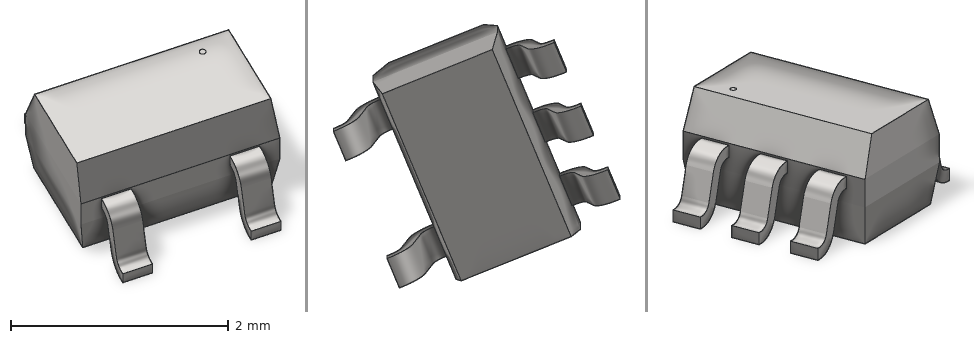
import cadquery as cq
import math

overall_length = 2.2
housing_width = 1.24
housing_depth = 2.01
housing_height = 1.09
band_bottom = 0.405
band_top = 0.689
top_inset_x = 0.147
top_inset_y = 0.025
bottom_inset_x = 0.073
bottom_inset_y = 0.05

lead_pitch = 0.65
lead_width = 0.301
lead_thickness = 0.12
lead_top = 0.669
inner_bend_radius = 0.119
bend_angle = math.radians(75)
left_rows = (-1, 0, 1)
right_rows = (-1, 1)

mark_diameter = 0.062
mark_depth = 0.022
mark_x = -0.321
mark_y = lead_pitch


def tapered_block(start_height, end_height, end_inset_x, end_inset_y):
    """Block from the full band outline to an inset outline at end_height."""
    return (
        cq.Workplane("XY")
        .workplane(offset=start_height)
        .rect(housing_width, housing_depth)
        .workplane(offset=end_height - start_height)
        .rect(housing_width - 2 * end_inset_x, housing_depth - 2 * end_inset_y)
        .loft(ruled=True)
    )


def make_mark():
    """Round pin-one mark, flush with the top of the housing."""
    return (
        cq.Workplane("XY")
        .workplane(offset=housing_height - mark_depth)
        .center(mark_x, mark_y)
        .circle(mark_diameter / 2)
        .extrude(mark_depth)
    )


def make_housing(mark):
    """Straight middle band with tapers above and below, recessed for the mark."""
    band = (
        cq.Workplane("XY")
        .workplane(offset=band_bottom)
        .rect(housing_width, housing_depth)
        .extrude(band_top - band_bottom)
    )
    upper = tapered_block(band_top, housing_height, top_inset_x, top_inset_y)
    lower = tapered_block(band_bottom, 0, bottom_inset_x, bottom_inset_y)
    return band.union(upper).union(lower).cut(mark)


def make_left_lead():
    """Gull-wing lead on the -X side, centred on Y = 0."""
    tip_x = -overall_length / 2
    root_x = -housing_width / 2
    outer_bend_radius = inner_bend_radius + lead_thickness
    middle_radius = inner_bend_radius + lead_thickness / 2

    rise = lead_top - lead_thickness
    bend_rise = middle_radius * (1 - math.cos(bend_angle))
    bend_run = middle_radius * math.sin(bend_angle)
    shank_length = (rise - 2 * bend_rise) / math.sin(bend_angle)
    shank_run = shank_length * math.cos(bend_angle)
    flat_length = (root_x - tip_x - 2 * bend_run - shank_run) / 2

    foot_center = (tip_x + flat_length, outer_bend_radius)
    shoulder_center = (root_x - flat_length, lead_top - outer_bend_radius)

    def foot_point(radius, angle):
        return (
            foot_center[0] + radius * math.sin(angle),
            foot_center[1] - radius * math.cos(angle),
        )

    def shoulder_point(radius, angle):
        return (
            shoulder_center[0] - radius * math.sin(angle),
            shoulder_center[1] + radius * math.cos(angle),
        )

    half_bend = bend_angle / 2
    profile = (
        cq.Workplane("XZ")
        .moveTo(tip_x, 0)
        .lineTo(*foot_point(outer_bend_radius, 0))
        .threePointArc(
            foot_point(outer_bend_radius, half_bend),
            foot_point(outer_bend_radius, bend_angle),
        )
        .lineTo(*shoulder_point(inner_bend_radius, bend_angle))
        .threePointArc(
            shoulder_point(inner_bend_radius, half_bend),
            shoulder_point(inner_bend_radius, 0),
        )
        .lineTo(root_x, lead_top - lead_thickness)
        .lineTo(root_x, lead_top)
        .lineTo(*shoulder_point(outer_bend_radius, 0))
        .threePointArc(
            shoulder_point(outer_bend_radius, half_bend),
            shoulder_point(outer_bend_radius, bend_angle),
        )
        .lineTo(*foot_point(inner_bend_radius, bend_angle))
        .threePointArc(
            foot_point(inner_bend_radius, half_bend),
            foot_point(inner_bend_radius, 0),
        )
        .lineTo(tip_x, lead_thickness)
        .close()
    )
    return profile.extrude(lead_width / 2, both=True)


def make_leads():
    """Three leads on the -X side and two on the +X side, each its own solid."""
    left_lead = make_left_lead()
    right_lead = left_lead.mirror("YZ")
    leads = []
    for lead, rows in ((left_lead, left_rows), (right_lead, right_rows)):
        for row in rows:
            leads.append(lead.translate((0, row * lead_pitch, 0)).val())
    return leads


pin_one_mark = make_mark()
housing = make_housing(pin_one_mark)
leads = make_leads()

result = cq.Compound.makeCompound([housing.val(), pin_one_mark.val(), *leads])